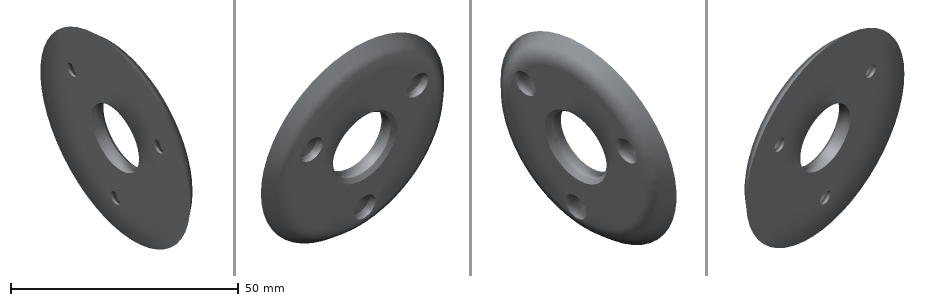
import cadquery as cq
import math

outer_radius = 27.0
thickness = 4.0
edge_radius = 5.0
edge_slope = math.radians(45)

bore_diameter = 17.0
bore_radius = bore_diameter / 2
bore_chamfer = 0.95

screw_hole_diameter = 3.4
screw_hole_radius = screw_hole_diameter / 2
screw_head_radius = 3.2
sink_start = 0.55
sink_end = 2.0
screw_circle_radius = 18.0
screw_count = 3
first_screw_angle = -90.0

round_height = edge_radius * (1 - math.cos(edge_slope))
slope_height = thickness - round_height
slope_top_radius = outer_radius - slope_height / math.tan(edge_slope)
back_face_radius = slope_top_radius - edge_radius * math.sin(edge_slope)

arc_mid_radius = back_face_radius + edge_radius * math.sin(edge_slope / 2)
arc_mid_height = thickness - edge_radius * (1 - math.cos(edge_slope / 2))


def revolve_about_y(profile):
    """Close a half profile and revolve it around the Y axis."""
    return profile.close().revolve(360, (0, 0, 0), (0, 1, 0))


def make_disc():
    """Solid disc with a sloped rim that rounds over into the back face."""
    profile = (
        cq.Workplane("XY")
        .lineTo(outer_radius, 0)
        .lineTo(slope_top_radius, slope_height)
        .threePointArc((arc_mid_radius, arc_mid_height), (back_face_radius, thickness))
        .lineTo(0, thickness)
    )
    return revolve_about_y(profile)


def make_bore_cutter():
    """Through bore with a 45 degree chamfer at the back."""
    profile = (
        cq.Workplane("XY")
        .lineTo(bore_radius, 0)
        .lineTo(bore_radius, thickness - bore_chamfer)
        .lineTo(bore_radius + bore_chamfer, thickness)
        .lineTo(0, thickness)
    )
    return revolve_about_y(profile)


def make_screw_cutter():
    """Through hole that flares into a wider seat for the screw head."""
    profile = (
        cq.Workplane("XY")
        .lineTo(screw_hole_radius, 0)
        .lineTo(screw_hole_radius, sink_start)
        .lineTo(screw_head_radius, sink_end)
        .lineTo(screw_head_radius, thickness)
        .lineTo(0, thickness)
    )
    return revolve_about_y(profile)


result = make_disc().cut(make_bore_cutter())

screw_cutter = make_screw_cutter()
for index in range(screw_count):
    angle = math.radians(first_screw_angle + index * 360 / screw_count)
    hole_x = screw_circle_radius * math.cos(angle)
    hole_z = screw_circle_radius * math.sin(angle)
    result = result.cut(screw_cutter.translate((hole_x, 0, hole_z)))